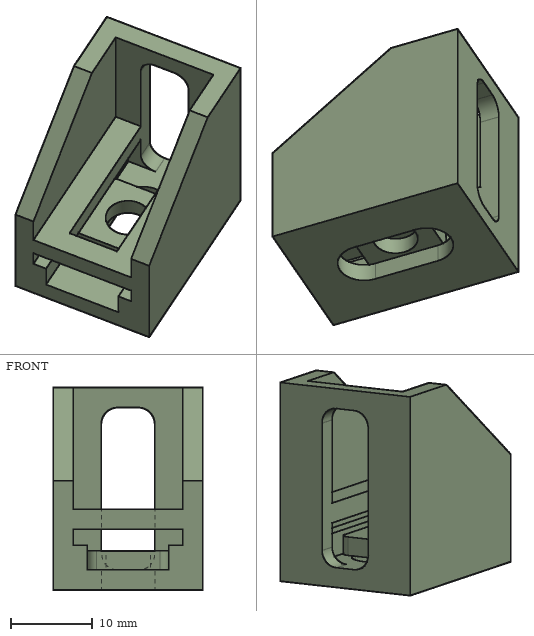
import cadquery as cq

width = 18.5
depth = 25
height = 25
wall = 2.5
inner_width = width - 2 * wall
inner_depth = depth - wall

front_height = 13.5
slope_end_y = 16

shelf_top = 10
shelf_bottom = shelf_top - wall
window_front_y = 3

channel_step_z = 5.5
channel_width = 10

slot_width = 6.55
rear_slot_corner = 2
floor_slot_length = 15

block_height = 2.32
block_corner = 1.08
bolt_hole_diameter = 5.5
centre_y = depth / 2


def box(size_x, y_start, y_end, z_start, z_end):
    """Box centred on x = 0 between the given y and z limits."""
    return (
        cq.Workplane("XY")
        .box(size_x, y_end - y_start, z_end - z_start, centered=(True, False, False))
        .translate((0, y_start, z_start))
    )


def make_shell():
    """Block with a sloped top front edge, hollowed above the shelf."""
    side_profile = [
        (0, 0),
        (depth, 0),
        (depth, height),
        (slope_end_y, height),
        (0, front_height),
    ]
    shell = cq.Workplane("YZ").polyline(side_profile).close().extrude(width / 2, both=True)
    return shell.cut(box(inner_width, 0, inner_depth, shelf_top, height))


def make_channel():
    """Channel open at the front, wider above its step."""
    upper = box(inner_width, 0, inner_depth, channel_step_z, shelf_bottom)
    lower = box(channel_width, 0, inner_depth, wall, channel_step_z)
    return upper.union(lower)


def make_rear_slot():
    """Upright slot with rounded corners through the rear wall."""
    slot = box(slot_width, inner_depth, depth, wall, height - wall)
    return slot.edges("|Y").fillet(rear_slot_corner)


def make_floor_slot():
    """Round-ended slot through the floor, running front to back."""
    return (
        cq.Workplane("XY")
        .center(0, centre_y)
        .slot2D(floor_slot_length, slot_width, 90)
        .extrude(wall)
    )


def make_block():
    """Square block with rounded corners and a central bolt hole."""
    half_side = channel_width / 2
    block = box(channel_width, centre_y - half_side, centre_y + half_side, wall, wall + block_height)
    block = block.edges("|Z").fillet(block_corner)
    return block.faces(">Z").workplane(origin=(0, centre_y, 0)).hole(bolt_hole_diameter)


shelf_window = box(slot_width, window_front_y, inner_depth, shelf_bottom, shelf_top)

result = (
    make_shell()
    .cut(make_channel())
    .cut(shelf_window)
    .cut(make_rear_slot())
    .cut(make_floor_slot())
    .union(make_block())
)